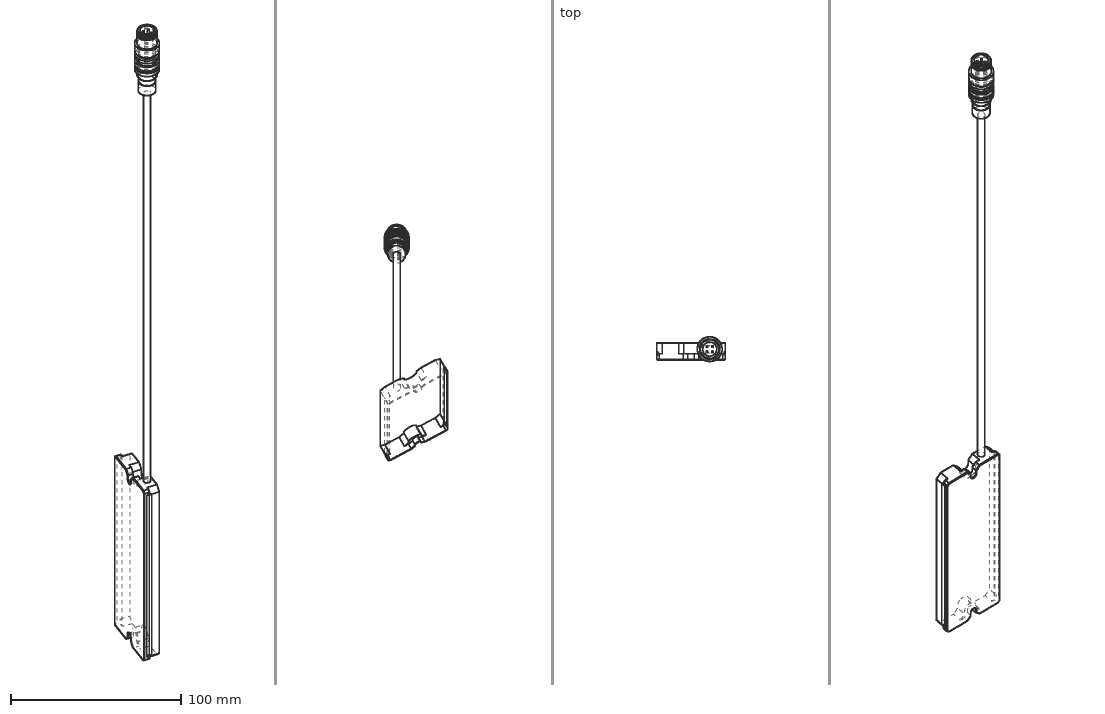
import cadquery as cq

total_height = 456.8

housing_width = 40.0
housing_height = 125.0
housing_thickness = 10.0
housing_front_y = -6.5
plate_thickness = 3.5
block_thickness = housing_thickness - plate_thickness
plate_corner_chamfer = 1.5
block_corner_chamfer = 3.0
front_edge_chamfer = 0.5
parting_y = housing_front_y + plate_thickness

groove_depth = 1.5
groove_end_gap = block_corner_chamfer
groove_apex_y = parting_y + 0.5
groove_front_y = groove_apex_y - 2.5
groove_rear_y = groove_apex_y + 1.0

slot_width = 3.5
slot_depth = 7.5
slot_mouth_chamfer = 2.7
head_slot_width = 8.0
head_mouth_chamfer = 3.0
slot_round_depth = slot_depth - slot_width / 2

cable_diameter = 4.3
cable_x = 11.0
cable_overlap = 4.5

thread_diameter = 12.0
thread_relief_diameter = 11.0
rib_diameter = 14.5
collar_diameter = 13.0
neck_diameter = 9.5
sleeve_diameter = 10.5

plug_steps = [
    (thread_relief_diameter, thread_diameter, 1.0),
    (thread_diameter, thread_diameter, 1.0),
    (thread_relief_diameter, thread_relief_diameter, 1.5),
    (thread_diameter, thread_diameter, 6.5),
    (rib_diameter, rib_diameter, 5.5),
    (thread_diameter, thread_relief_diameter, 1.5),
    (thread_relief_diameter, thread_relief_diameter, 1.0),
    (rib_diameter, rib_diameter, 2.0),
    (thread_diameter, thread_diameter, 2.7),
    (rib_diameter, rib_diameter, 2.7),
    (thread_diameter, thread_diameter, 2.0),
    (rib_diameter, rib_diameter, 2.5),
    (collar_diameter, thread_diameter, 4.0),
    (thread_diameter, sleeve_diameter, 1.0),
    (neck_diameter, neck_diameter, 3.5),
    (sleeve_diameter, sleeve_diameter, 7.0),
    (sleeve_diameter, cable_diameter, 2.0),
]
plug_length = sum(length for _, _, length in plug_steps)

socket_diameter = 8.0
socket_depth = 6.0
pin_diameter = 1.0
pin_circle_diameter = 4.5
pin_length = 4.5
pin_count = 4
pin_start_angle = 45


def make_slab(front_y, thickness, corner_chamfer):
    """Upright slab with chamfered corners, standing on z = 0."""
    return (
        cq.Workplane("XY", origin=(0, front_y + thickness / 2, housing_height / 2))
        .box(housing_width, thickness, housing_height)
        .edges("|Y")
        .chamfer(corner_chamfer)
    )


def cut_end_slots(slab, width, mouth_chamfer):
    """Cut a round-ended slot with a flared mouth into the top and bottom ends."""
    half_width = width / 2
    half_mouth = half_width + mouth_chamfer
    slot = (
        cq.Workplane("XZ")
        .moveTo(-half_mouth, housing_height)
        .lineTo(-half_width, housing_height - mouth_chamfer)
        .lineTo(-half_width, housing_height - slot_round_depth)
        .threePointArc(
            (0, housing_height - slot_round_depth - half_width),
            (half_width, housing_height - slot_round_depth),
        )
        .lineTo(half_width, housing_height - mouth_chamfer)
        .lineTo(half_mouth, housing_height)
        .close()
        .extrude(housing_thickness, both=True)
    )
    opposite_slot = slot.mirror("XY", (0, 0, housing_height / 2))
    return slab.cut(slot).cut(opposite_slot)


def make_side_groove():
    """Shallow V-shaped groove along the -X side, stopping at the corner chamfers."""
    side_x = -housing_width / 2
    return (
        cq.Workplane("XY", origin=(0, 0, groove_end_gap))
        .moveTo(side_x, groove_front_y)
        .lineTo(side_x + groove_depth, groove_apex_y)
        .lineTo(side_x, groove_rear_y)
        .close()
        .extrude(housing_height - 2 * groove_end_gap)
    )


def make_housing():
    plate = make_slab(housing_front_y, plate_thickness, plate_corner_chamfer)
    plate = cut_end_slots(plate, slot_width, slot_mouth_chamfer)
    plate = plate.faces("<Y").chamfer(front_edge_chamfer)
    block = make_slab(parting_y, block_thickness, block_corner_chamfer)
    block = cut_end_slots(block, head_slot_width, head_mouth_chamfer)
    groove = make_side_groove()
    return plate.union(block).cut(groove).cut(groove.mirror("YZ"))


def make_cable():
    length = total_height - plug_length - housing_height + 2 * cable_overlap
    return (
        cq.Workplane("XY", origin=(cable_x, 0, housing_height - cable_overlap))
        .circle(cable_diameter / 2)
        .extrude(length)
    )


def make_plug():
    """Ribbed round plug with a socket and contact pins in its tip."""
    outline = [(0, total_height)]
    z = total_height
    for upper_diameter, lower_diameter, length in plug_steps:
        shoulder = (upper_diameter / 2, z)
        if shoulder != outline[-1]:
            outline.append(shoulder)
        z -= length
        outline.append((lower_diameter / 2, z))
    outline.append((0, z))
    plug = cq.Workplane("XZ").polyline(outline).close().revolve(360, (0, 0, 0), (0, 1, 0))
    socket_floor = cq.Workplane("XY", origin=(0, 0, total_height - socket_depth))
    socket = socket_floor.circle(socket_diameter / 2).extrude(socket_depth)
    pins = (
        socket_floor.polarArray(pin_circle_diameter / 2, pin_start_angle, 360, pin_count)
        .circle(pin_diameter / 2)
        .extrude(pin_length)
    )
    return plug.cut(socket).union(pins).translate((cable_x, 0, 0))


result = make_housing().union(make_cable()).union(make_plug())